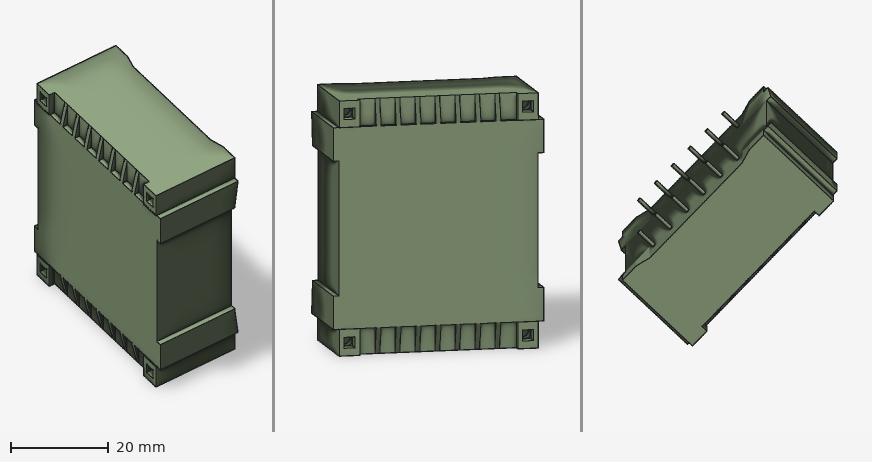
import cadquery as cq

height = 53.0
body_width = 41.75
body_depth = 19.8

flange_reach = 1.2
flange_start = 5.55
flange_end = 12.5

plate_setback = 0.2

corner_width = 4.3
strip_depth = 1.4
rib_count = 7
rib_pitch = 4.2
rib_width = 1.0

socket_size = 2.3
socket_from_end = 2.75
socket_depth = 2.4
bore_diameter = 2.15
bore_depth = 4.75

relief_depth = 0.85
cross_relief_start = 5.2
cross_relief_run = 6.9
upright_relief_start = 4.15
upright_relief_run = 3.2

pin_diameter = 0.8
pin_count = 6
pin_pitch = 5.0
pin_tip = 23.2
pin_from_end = 9.0
pin_root = body_depth / 2

half_height = height / 2
half_width = body_width / 2
plate_half_height = half_height - flange_start
strip_width = body_width - 2 * corner_width
relief_floor = body_depth - relief_depth
socket_x = half_width - corner_width / 2
socket_z = half_height - socket_from_end
flange_height = flange_end - flange_start
full_width = body_width + 2 * flange_reach


def box(x_size, y_start, y_end, z_size, x=0.0, z=0.0):
    """Box centred on x and z, spanning y_start to y_end."""
    return (
        cq.Workplane("XY")
        .box(x_size, y_end - y_start, z_size)
        .translate((x, (y_start + y_end) / 2, z))
    )


def centred_offsets(count, pitch):
    return [(i - (count - 1) / 2) * pitch for i in range(count)]


def relief_points(half_span, run):
    """Trapezoid that narrows from the rear face down to the relief floor."""
    return [
        (-half_span, body_depth),
        (-half_span + run, relief_floor),
        (half_span - run, relief_floor),
        (half_span, body_depth),
    ]


def make_shell():
    shell = box(body_width, 0, body_depth, height)
    flange_z = half_height - (flange_start + flange_end) / 2
    for side in (-1, 1):
        shell = shell.union(box(full_width, 0, body_depth, flange_height, z=side * flange_z))
    return shell.cut(box(full_width, 0, plate_setback, 2 * plate_half_height))


def cut_rear_reliefs(shell):
    upright = (
        cq.Workplane("XY")
        .polyline(relief_points(half_width - upright_relief_start, upright_relief_run))
        .close()
        .extrude(half_height, both=True)
    )
    cross = (
        cq.Workplane("YZ")
        .polyline([(y, z) for z, y in relief_points(half_height - cross_relief_start, cross_relief_run)])
        .close()
        .extrude(full_width / 2, both=True)
    )
    return shell.cut(upright).cut(cross)


def cut_terminal_strips(shell):
    strip_z = half_height - flange_start / 2
    for side in (-1, 1):
        shell = shell.cut(box(strip_width, 0, strip_depth, flange_start, z=side * strip_z))
        rib = (
            cq.Workplane("YZ")
            .polyline([
                (plate_setback, side * plate_half_height),
                (strip_depth, side * plate_half_height),
                (strip_depth, side * half_height),
            ])
            .close()
            .extrude(rib_width / 2, both=True)
        )
        for x in centred_offsets(rib_count, rib_pitch):
            shell = shell.union(rib.translate((x, 0, 0)))
    return shell


def cut_sockets(shell):
    for x in (-socket_x, socket_x):
        for z in (-socket_z, socket_z):
            mouth = box(socket_size, 0, socket_depth, socket_size, x, z)
            bore = (
                cq.Workplane("XZ", origin=(x, 0, z))
                .circle(bore_diameter / 2)
                .extrude(-bore_depth)
            )
            shell = shell.cut(mouth).cut(bore)
    return shell


def add_pins(shell):
    pin_z = half_height - pin_from_end
    for x in centred_offsets(pin_count, pin_pitch):
        for z in (-pin_z, pin_z):
            pin = (
                cq.Workplane("XZ", origin=(x, pin_root, z))
                .circle(pin_diameter / 2)
                .extrude(pin_root - pin_tip)
            )
            shell = shell.union(pin)
    return shell


shell = make_shell()
shell = cut_rear_reliefs(shell)
shell = cut_terminal_strips(shell)
shell = cut_sockets(shell)
result = add_pins(shell)